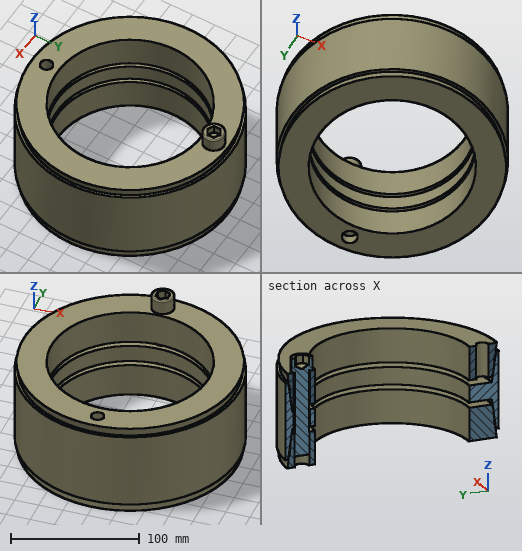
import cadquery as cq
import math


outer_diameter = 180.0
bore_diameter = 130.0
overall_height = 91.0
head_height = 12.0
stack_height = overall_height - head_height
ring_height = 28.3
ring_gap = 4.0
ring_protrusion = 7.2
ring_face_diameter = 177.0
cone_angle = 8.0

outer_radius = outer_diameter / 2
bore_radius = bore_diameter / 2
ring_face_radius = ring_face_diameter / 2
web_bottom = ring_height + ring_gap
web_top = stack_height - web_bottom
mid_height = stack_height / 2

bolt_offset = 76.0
head_diameter = 18.0
head_edge_radius = 1.0
shank_diameter = 12.0
shank_length = 70.0
clearance_diameter = 13.5
socket_flats = 10.0
socket_depth = 7.0
socket_cone_angle = 120.0
jack_hole_diameter = 10.0


def cone_radius(height):
    """Radius of the lower cone at a height above the lower face."""
    return ring_face_radius - height * math.tan(math.radians(cone_angle))


def cylinder(diameter, bottom, top, y):
    """Vertical cylinder between two heights, centred at X = 0 and the given Y."""
    base = cq.Workplane("XY", origin=(0, y, bottom))
    return base.circle(diameter / 2).extrude(top - bottom)


def revolve_about_z(points):
    """Turn a closed (radius, height) outline around the Z axis."""
    return cq.Workplane("XZ").polyline(points).close().revolve(360, (0, 0), (0, 1))


def make_cone_ring():
    """Lower cone ring, narrowing inward from its outer face."""
    return revolve_about_z([
        (bore_radius, 0),
        (ring_face_radius, 0),
        (cone_radius(ring_height), ring_height),
        (bore_radius, ring_height),
    ])


def make_upper_ring():
    """Mirrored cone ring with a screw clearance hole and a jacking hole."""
    ring = make_cone_ring().mirror("XY", (0, 0, mid_height))
    ring_bottom = stack_height - ring_height
    screw_hole = cylinder(clearance_diameter, ring_bottom, stack_height, bolt_offset)
    jack_hole = cylinder(jack_hole_diameter, ring_bottom, stack_height, -bolt_offset)
    return ring.cut(screw_hole).cut(jack_hole)


def make_lower_ring():
    """Cone ring with a through hole that grips the screw shank."""
    return make_cone_ring().cut(cylinder(shank_diameter, 0, ring_height, bolt_offset))


def make_sleeve():
    """Outer sleeve with opposed conical seats and a web between the rings."""
    sleeve = revolve_about_z([
        (outer_radius, ring_protrusion),
        (outer_radius, stack_height - ring_protrusion),
        (cone_radius(ring_protrusion), stack_height - ring_protrusion),
        (cone_radius(web_bottom), web_top),
        (bore_radius, web_top),
        (bore_radius, web_bottom),
        (cone_radius(web_bottom), web_bottom),
        (cone_radius(ring_protrusion), ring_protrusion),
    ])
    return sleeve.cut(cylinder(clearance_diameter, web_bottom, web_top, bolt_offset))


def make_screw():
    """Socket-head screw seated on the upper face, with a conical socket floor."""
    head = cylinder(head_diameter, stack_height, overall_height, bolt_offset)
    head = head.faces(">Z").edges().fillet(head_edge_radius)
    shank = cylinder(shank_diameter, stack_height - shank_length, stack_height, bolt_offset)

    socket_corners = socket_flats / math.cos(math.radians(30))
    socket_floor = overall_height - socket_depth
    socket = (
        cq.Workplane("XY", origin=(0, bolt_offset, socket_floor))
        .transformed(rotate=(0, 0, 90))
        .polygon(6, socket_corners)
        .extrude(socket_depth)
    )
    floor_radius = socket_flats / 2
    floor_depth = floor_radius / math.tan(math.radians(socket_cone_angle / 2))
    floor_cone = cq.Workplane(cq.Solid.makeCone(
        floor_radius, 0, floor_depth, cq.Vector(0, bolt_offset, socket_floor), cq.Vector(0, 0, -1)
    ))
    return head.union(shank).cut(socket).cut(floor_cone)


sleeve = make_sleeve().solids()
lower_ring = make_lower_ring().solids()
upper_ring = make_upper_ring().solids()
screw = make_screw().solids()

result = cq.Compound.makeCompound([sleeve.val(), lower_ring.val(), upper_ring.val(), screw.val()])